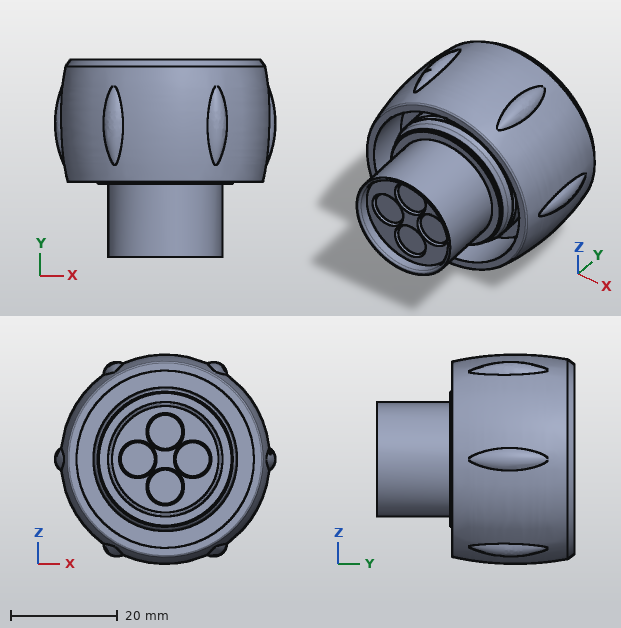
import cadquery as cq
import math

REAR_CHAMFER_LENGTH = 1.3
REAR_FACE_RADIUS = 17.8
REAR_EDGE_RADIUS = 18.76
CROWN_RADIUS = 19.66
CROWN_STATION = 11.15
FRONT_EDGE_RADIUS = 18.4
RING_LENGTH = 23.0
FRONT_ROUND = 0.3
CAVITY_RADIUS = 16.65
CAVITY_DEPTH = 8.8

RIB_COUNT = 6
RIB_TOP_RADIUS = 20.7
RIB_STATION = 12.0
RIB_SECTION_RADIUS = 2.53
RIB_ARC_RADIUS = 18.5

SLEEVE_STATION = 23.4
SLEEVE_TIP_RADIUS = 12.45
SLEEVE_NOSE_RADIUS = 12.7
SLEEVE_SHOULDER_RADIUS = 13.2
SLEEVE_RADIUS = 13.5
TIP_CHAMFER_LENGTH = 0.25
NOSE_END = 0.6
NOSE_GROOVE_WIDTH = 0.3
NOSE_GROOVE_DEPTH = 0.15
SHOULDER_END = 1.65
TAPER_END = 2.7
REAR_GROOVE_START = 2.8
REAR_GROOVE_WIDTH = 1.1
REAR_GROOVE_DEPTH = 0.3

TUBE_LENGTH = 37.08
TUBE_RADIUS = 10.75
RECESS_RADIUS = 10.0
RECESS_DEPTH = 2.25
RECESS_LIP_FILLET = 0.4
CONTACT_COUNT = 4
CONTACT_CIRCLE_RADIUS = 5.15
CONTACT_MOUTH_RADIUS = 3.52
CONTACT_FLOOR_RADIUS = 3.2
CONTACT_DEPTH = 0.6


def revolve_about_y(outline):
    return outline.close().revolve(360, (0, 0, 0), (0, 1, 0))


def front_disc(station, radius):
    """Sketch of a circle facing -Y at the given station."""
    return cq.Workplane("XZ", origin=(0, -station, 0)).circle(radius)


def coupling_ring():
    outline = (
        cq.Workplane("XY")
        .lineTo(REAR_FACE_RADIUS, 0)
        .lineTo(REAR_EDGE_RADIUS, -REAR_CHAMFER_LENGTH)
        .threePointArc(
            (CROWN_RADIUS, -CROWN_STATION),
            (FRONT_EDGE_RADIUS, -(RING_LENGTH - FRONT_ROUND)),
        )
        .radiusArc((FRONT_EDGE_RADIUS - FRONT_ROUND, -RING_LENGTH), FRONT_ROUND)
        .lineTo(0, -RING_LENGTH)
    )
    return revolve_about_y(outline)


def grip_rib():
    """Spindle parallel to Y, bounded by an arc revolved about its own axis."""
    axis_x = RIB_TOP_RADIUS - RIB_SECTION_RADIUS
    arc_center_offset = RIB_ARC_RADIUS - RIB_SECTION_RADIUS
    half_length = math.sqrt(RIB_ARC_RADIUS**2 - arc_center_offset**2)
    return (
        cq.Workplane("XY", origin=(axis_x, -RIB_STATION, 0))
        .moveTo(0, -half_length)
        .threePointArc((RIB_SECTION_RADIUS, 0), (0, half_length))
        .close()
        .revolve(360, (0, 0, 0), (0, 1, 0))
    )


def ring_with_ribs():
    ring = coupling_ring()
    for index in range(RIB_COUNT):
        angle = index * 360 / RIB_COUNT
        ring = ring.union(grip_rib().rotate((0, 0, 0), (0, 1, 0), angle))
    cavity = front_disc(RING_LENGTH, CAVITY_RADIUS).extrude(-CAVITY_DEPTH)
    return ring.cut(cavity)


def v_groove(outline, radius, setback, width, depth):
    """Extend the sleeve outline by a V-groove whose front edge is at the given setback."""
    front = setback - SLEEVE_STATION
    return (
        outline.lineTo(radius, front)
        .lineTo(radius - depth, front + width / 2)
        .lineTo(radius, front + width)
    )


def sleeve():
    root_station = RING_LENGTH - CAVITY_DEPTH
    outline = (
        cq.Workplane("XY")
        .moveTo(0, -SLEEVE_STATION)
        .lineTo(SLEEVE_TIP_RADIUS, -SLEEVE_STATION)
        .lineTo(SLEEVE_NOSE_RADIUS, TIP_CHAMFER_LENGTH - SLEEVE_STATION)
    )
    outline = v_groove(outline, SLEEVE_NOSE_RADIUS, NOSE_END, NOSE_GROOVE_WIDTH, NOSE_GROOVE_DEPTH)
    outline = outline.lineTo(SLEEVE_SHOULDER_RADIUS, SHOULDER_END - SLEEVE_STATION)
    outline = outline.lineTo(SLEEVE_RADIUS, TAPER_END - SLEEVE_STATION)
    outline = v_groove(outline, SLEEVE_RADIUS, REAR_GROOVE_START, REAR_GROOVE_WIDTH, REAR_GROOVE_DEPTH)
    outline = outline.lineTo(SLEEVE_RADIUS, -root_station).lineTo(0, -root_station)
    return revolve_about_y(outline)


def contact_tube():
    tube = front_disc(TUBE_LENGTH, TUBE_RADIUS).extrude(SLEEVE_STATION - TUBE_LENGTH)
    recess = front_disc(TUBE_LENGTH, RECESS_RADIUS).extrude(-RECESS_DEPTH)
    tube = tube.cut(recess)
    inner_lip = cq.selectors.RadiusNthSelector(0)
    return tube.faces("<Y").edges(inner_lip).fillet(RECESS_LIP_FILLET)


def contact_pockets():
    floor_station = TUBE_LENGTH - RECESS_DEPTH
    draft = math.degrees(math.atan2(CONTACT_MOUTH_RADIUS - CONTACT_FLOOR_RADIUS, CONTACT_DEPTH))
    return (
        cq.Workplane("XZ", origin=(0, -floor_station, 0))
        .polarArray(CONTACT_CIRCLE_RADIUS, 0, 360, CONTACT_COUNT)
        .circle(CONTACT_MOUTH_RADIUS)
        .extrude(-CONTACT_DEPTH, taper=draft)
    )


result = ring_with_ribs().union(sleeve()).union(contact_tube()).cut(contact_pockets())